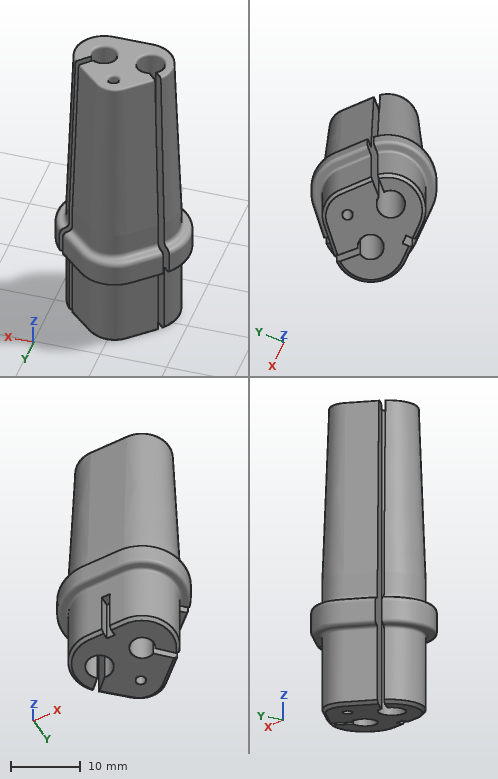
import cadquery as cq
import math

HEIGHT = 45.5
FLANGE_BOTTOM = 11.5
FLANGE_TOP = 15.55
TAPER_START = 19.5

FLANGE_LENGTH = 19.97
FLANGE_WIDTH = 17.2
SIDE_CENTER_X = 2.95
FLANGE_SIDE_RADIUS = FLANGE_LENGTH / 2 - SIDE_CENTER_X
FLANGE_APEX_RADIUS = 5.7
APEX_CENTER_Y = FLANGE_WIDTH - FLANGE_SIDE_RADIUS - FLANGE_APEX_RADIUS
FLANGE_OVERHANG = 1.6
TOP_INSET = 1.0

BASE_CHAMFER = 0.5
TOP_ROUND = 0.3
FLANGE_UPPER_ROUND = 0.77
NECK_UPPER_ROUND = 0.75
FLANGE_LOWER_ROUND = 0.55
NECK_LOWER_ROUND = 0.4

BORES = [
    (-4.0, 0.0, 2.05, 0.35),
    (3.0, 0.0, 1.85, 0.4),
    (0.0, 5.0, 0.75, 0.4),
]

SLIT_WIDTH = 0.95
SLIT_LENGTH = 13.65
SLIT_ANGLE = 45.0

KEYWAY_WIDTH = 1.27
KEYWAY_HEIGHT = 8.0
KEYWAY_DEPTH = 1.5


def outline(z, inset):
    """Rounded-triangle outline at height z, inset from the flange edge."""
    side = FLANGE_SIDE_RADIUS - inset
    apex = FLANGE_APEX_RADIUS - inset
    center_distance = math.hypot(SIDE_CENTER_X, APEX_CENTER_Y)
    normal = math.atan2(SIDE_CENTER_X, APEX_CENTER_Y) + math.asin((side - apex) / center_distance)
    nx = math.cos(normal)
    ny = math.sin(normal)
    middle = (normal - math.pi / 2) / 2
    mx = SIDE_CENTER_X + side * math.cos(middle)
    my = side * math.sin(middle)
    return (
        cq.Workplane("XY", origin=(0, 0, z))
        .moveTo(-SIDE_CENTER_X, -side)
        .lineTo(SIDE_CENTER_X, -side)
        .threePointArc((mx, my), (SIDE_CENTER_X + side * nx, side * ny))
        .lineTo(apex * nx, APEX_CENTER_Y + apex * ny)
        .threePointArc((0, APEX_CENTER_Y + apex), (-apex * nx, APEX_CENTER_Y + apex * ny))
        .lineTo(-SIDE_CENTER_X - side * nx, side * ny)
        .threePointArc((-mx, my), (-SIDE_CENTER_X, -side))
        .close()
    )


def make_body():
    """Straight lower body, continuing as a tapered upper body with a rounded top."""
    base = outline(0, FLANGE_OVERHANG).extrude(TAPER_START)
    base = base.faces("<Z").edges().chamfer(BASE_CHAMFER)
    bottom_wire = outline(TAPER_START, FLANGE_OVERHANG).val()
    top_wire = outline(HEIGHT, FLANGE_OVERHANG + TOP_INSET).val()
    taper = cq.Workplane(cq.Solid.makeLoft([bottom_wire, top_wire], True))
    taper = taper.faces(">Z").edges().fillet(TOP_ROUND)
    return base.union(taper)


def make_flange():
    """Collar with both outer rims rounded."""
    flange = outline(FLANGE_BOTTOM, 0).extrude(FLANGE_TOP - FLANGE_BOTTOM)
    flange = flange.faces(">Z").edges().fillet(FLANGE_UPPER_ROUND)
    return flange.faces("<Z").edges().fillet(FLANGE_LOWER_ROUND)


def make_neck(flange_z, radius, direction):
    """Concave fillet ring between the body and a flange face, growing up (1) or down (-1)."""
    foot = outline(flange_z, FLANGE_OVERHANG - radius).extrude(direction * radius)
    body_core = outline(flange_z, FLANGE_OVERHANG).extrude(direction * radius)
    cove_y = -FLANGE_SIDE_RADIUS + FLANGE_OVERHANG - radius
    cove_z = flange_z + direction * radius
    path = outline(cove_z, FLANGE_OVERHANG - radius)
    cove = (
        cq.Workplane("YZ", origin=(-SIDE_CENTER_X, cove_y, cove_z))
        .circle(radius)
        .sweep(path)
    )
    return foot.cut(cove).union(body_core)


def make_bore(x, y, radius, mouth_round):
    """Cutter for a through bore whose top mouth flares with a convex round."""
    diagonal = mouth_round * (1 - math.sqrt(0.5))
    return (
        cq.Workplane("XZ")
        .lineTo(radius, 0)
        .lineTo(radius, HEIGHT - mouth_round)
        .threePointArc(
            (radius + diagonal, HEIGHT - diagonal),
            (radius + mouth_round, HEIGHT),
        )
        .lineTo(0, HEIGHT)
        .close()
        .revolve(360, (0, 0, 0), (0, 1, 0))
        .translate((x, y, 0))
    )


def make_slit(side):
    """Cutter for a slit running outward from a side arc center; side is 1 (+X) or -1 (-X)."""
    angle = SLIT_ANGLE if side > 0 else 180 - SLIT_ANGLE
    return (
        cq.Workplane("XY")
        .box(SLIT_LENGTH, SLIT_WIDTH, HEIGHT, centered=(False, True, False))
        .rotate((0, 0, 0), (0, 0, 1), angle)
        .translate((side * SIDE_CENTER_X, 0, 0))
    )


def make_keyway():
    """Cutter for the keyway, open at the base and at the flat face."""
    flat_y = -FLANGE_SIDE_RADIUS + FLANGE_OVERHANG
    return (
        cq.Workplane("XY", origin=(0, flat_y, 0))
        .box(KEYWAY_WIDTH, KEYWAY_DEPTH, KEYWAY_HEIGHT, centered=(True, False, False))
    )


result = make_body().union(make_flange())
result = result.union(make_neck(FLANGE_TOP, NECK_UPPER_ROUND, 1))
result = result.union(make_neck(FLANGE_BOTTOM, NECK_LOWER_ROUND, -1))
for bore in BORES:
    result = result.cut(make_bore(*bore))
for slit_side in (-1, 1):
    result = result.cut(make_slit(slit_side))
result = result.cut(make_keyway())